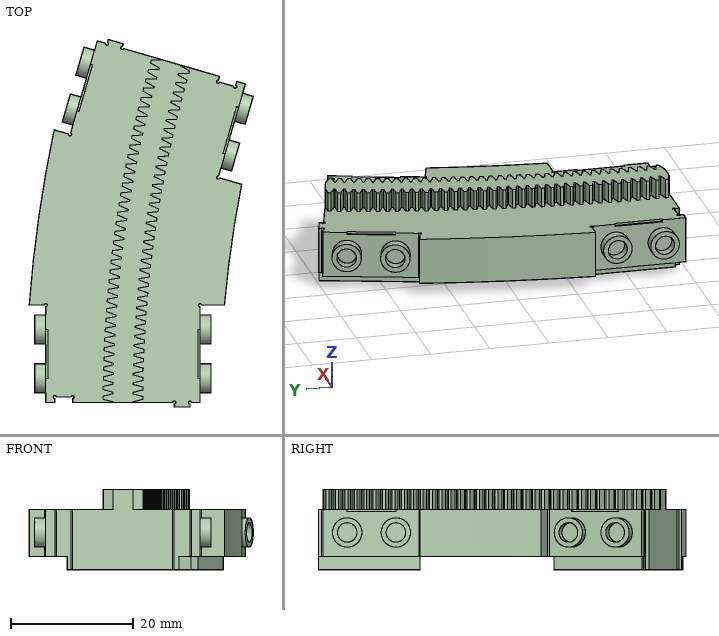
import cadquery as cq
import math

curve_radius = 200.0
tooth_count = 36
tooth_angle = 0.45
sweep = tooth_count * tooth_angle

leg_height = 2.15
body_height = 7.8
rack_height = 3.25
body_top = leg_height + body_height

end_width = 25.3
end_length = 16.0
middle_half_width = 16.0
half_end = end_width / 2

leg_width = 18.3
leg_wall = 1.2

joint_offset = 9.7
tongue_width = 2.6
tongue_length = 0.7
notch_width = 2.9
notch_depth = 0.9
relief_radius = 0.25

pin_diameter = 4.8
pin_bore = 3.2
pin_length = 1.8
pin_pitch = end_length / 2
pin_places = (pin_pitch / 2, 1.5 * pin_pitch)
pin_height = 6.15
groove_size = 0.35

tip_offset = 3.25
root_offset = 1.6
tip_share = 0.3
root_share = 0.15


def box(x_range, y_range, z_range):
    """Box between a start and an end along each axis."""
    sizes = [end - start for start, end in (x_range, y_range, z_range)]
    corner = (x_range[0], y_range[0], z_range[0])
    return cq.Workplane("XY").box(*sizes, centered=False).translate(corner)


def on_curve(offset, angle):
    """Plan point at an outward offset from the centreline and an angle along it."""
    radius = curve_radius + offset
    turn = math.radians(angle)
    return (curve_radius - radius * math.cos(turn), radius * math.sin(turn))


def at_far_end(shape):
    """Copy of a near-end shape, turned to face outward at the far end."""
    reversed_shape = shape.rotate((0, 0, 0), (0, 0, 1), 180)
    return reversed_shape.rotate((curve_radius, 0, 0), (curve_radius, 0, 1), -sweep)


def middle_body():
    """Wide curved stretch between the two straight-sided ends."""
    def corner_angle(offset):
        return math.degrees(math.asin(end_length / (curve_radius + offset)))

    outer, inner = middle_half_width, -middle_half_width
    outer_start, inner_start = corner_angle(outer), corner_angle(inner)
    return (
        cq.Workplane("XY", origin=(0, 0, leg_height))
        .moveTo(*on_curve(outer, outer_start))
        .threePointArc(on_curve(outer, sweep / 2), on_curve(outer, sweep - outer_start))
        .lineTo(*on_curve(inner, sweep - inner_start))
        .threePointArc(on_curve(inner, sweep / 2), on_curve(inner, inner_start))
        .close()
        .extrude(body_height)
    )


def end_block():
    """Straight end with its tongue and a hollow leg, open towards the middle of the piece.

    The tongue reaches below the body only as far out as the side of the leg.
    """
    half_leg = leg_width / 2
    half_cavity = half_leg - leg_wall
    upper = box((-half_end, half_end), (0, end_length), (leg_height, body_top))
    leg = box((-half_leg, half_leg), (0, end_length), (0, leg_height))
    end_wall = notch_depth + leg_wall
    cavity = box((-half_cavity, half_cavity), (end_wall, end_length), (0, leg_height))
    tongue_start = joint_offset - tongue_width / 2
    tongue_end = joint_offset + tongue_width / 2
    upper_tongue = box((tongue_start, tongue_end), (-tongue_length, 0), (leg_height, body_top))
    leg_tongue = box((tongue_start, half_leg), (-tongue_length, 0), (0, leg_height))
    return upper.union(leg.cut(cavity)).union(upper_tongue).union(leg_tongue)


def end_cuts():
    """Notch, corner reliefs and the shallow grooves along the top side edges."""
    notch = box(
        (-joint_offset - notch_width / 2, -joint_offset + notch_width / 2),
        (0, notch_depth),
        (0, body_top),
    )
    relief_points = []
    for side in (-1, 1):
        relief_points.append((-joint_offset + side * notch_width / 2, notch_depth))
        relief_points.append((joint_offset + side * tongue_width / 2, 0))
        relief_points.append((side * half_end, end_length))
    reliefs = cq.Workplane("XY").pushPoints(relief_points).circle(relief_radius).extrude(body_top)
    cuts = notch.union(reliefs)
    for side in (-1, 1):
        edge = side * half_end
        x_range = sorted((edge, edge - side * groove_size))
        cuts = cuts.union(box(x_range, pin_places, (body_top - groove_size, body_top)))
    return cuts


def side_pins():
    """Hollow pins standing out of both sides of an end."""
    centres = [(place, pin_height) for place in pin_places]
    right_pins = (
        cq.Workplane("YZ", origin=(half_end, 0, 0))
        .pushPoints(centres)
        .circle(pin_diameter / 2)
        .circle(pin_bore / 2)
        .extrude(pin_length)
    )
    return right_pins.union(right_pins.mirror("YZ"))


def rack_edge(side):
    """Toothed edge from the near end to the far end, starting and ending mid-root."""
    root = side * root_offset
    tip = side * tip_offset
    points = [on_curve(root, 0)]
    for tooth in range(tooth_count):
        for offset, place in (
            (root, root_share / 2),
            (tip, 0.5 - tip_share / 2),
            (tip, 0.5 + tip_share / 2),
            (root, 1 - root_share / 2),
        ):
            points.append(on_curve(offset, (tooth + place) * tooth_angle))
    points.append(on_curve(root, sweep))
    return points


def rack():
    """Raised curved strip with teeth along both edges."""
    outline = rack_edge(1) + rack_edge(-1)[::-1]
    return cq.Workplane("XY", origin=(0, 0, body_top)).polyline(outline).close().extrude(rack_height)


near_end = end_block()
near_cuts = end_cuts()
near_pins = side_pins()
result = (
    middle_body()
    .union(near_end)
    .union(at_far_end(near_end))
    .cut(near_cuts)
    .cut(at_far_end(near_cuts))
    .union(near_pins)
    .union(at_far_end(near_pins))
    .union(rack())
)